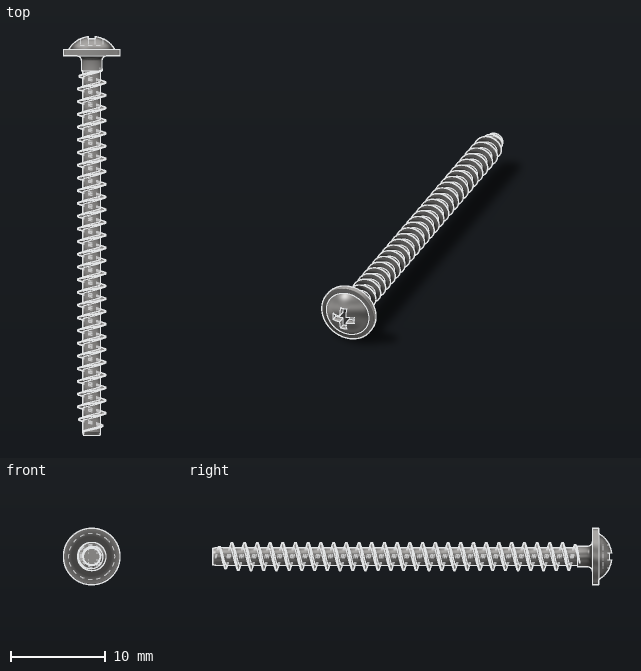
import cadquery as cq
import math

FLANGE_RADIUS = 3.0
FLANGE_THICKNESS = 0.7
FLANGE_EDGE_FILLET = 0.1
DOME_APEX = 2.1
DOME_BASE_RADIUS = 2.43

RECESS_WING_WIDTH = 0.7
RECESS_SPAN = 2.4
RECESS_DEPTH = 1.0

SHAFT_LENGTH = 40.0
NECK_RADIUS = 1.1
NECK_LENGTH = 1.57
NECK_FILLET = 0.5
CORE_RADIUS = 0.95
TIP_RADIUS = 0.87
TIP_TAPER_LENGTH = 0.35

THREAD_RADIUS = 1.5
PITCH = 1.34
CREST_WIDTH = 0.08
FLANK_ANGLE = 15.0
ROOT_OVERLAP = 0.1
CREST_AT_PLUS_X = -2.80

FULL_DEPTH_START = -2.55
FULL_DEPTH_END = -38.0
FADE_LENGTH = 1.75
FADE_END_SINK = 0.02
FADE_DEPTH = THREAD_RADIUS - CORE_RADIUS + FADE_END_SINK


def dome_height_at(radius):
    """Height of the spherical dome above the bearing face at a given radius."""
    rise = DOME_APEX - FLANGE_THICKNESS
    sphere_radius = (DOME_BASE_RADIUS**2 + rise**2) / (2 * rise)
    return DOME_APEX - sphere_radius + math.sqrt(sphere_radius**2 - radius**2)


def make_body():
    """Head, neck and core as one revolved profile about the Y axis."""
    edge = FLANGE_EDGE_FILLET
    dome_mid_radius = DOME_BASE_RADIUS / 2
    return (
        cq.Workplane("XY")
        .moveTo(0, DOME_APEX)
        .threePointArc(
            (dome_mid_radius, dome_height_at(dome_mid_radius)),
            (DOME_BASE_RADIUS, FLANGE_THICKNESS),
        )
        .lineTo(FLANGE_RADIUS - edge, FLANGE_THICKNESS)
        .radiusArc((FLANGE_RADIUS, FLANGE_THICKNESS - edge), edge)
        .lineTo(FLANGE_RADIUS, edge)
        .radiusArc((FLANGE_RADIUS - edge, 0), edge)
        .lineTo(NECK_RADIUS + NECK_FILLET, 0)
        .radiusArc((NECK_RADIUS, -NECK_FILLET), -NECK_FILLET)
        .lineTo(NECK_RADIUS, -NECK_LENGTH)
        .lineTo(CORE_RADIUS, -NECK_LENGTH)
        .lineTo(CORE_RADIUS, -SHAFT_LENGTH + TIP_TAPER_LENGTH)
        .lineTo(TIP_RADIUS, -SHAFT_LENGTH)
        .lineTo(0, -SHAFT_LENGTH)
        .close()
        .revolve(360, (0, 0, 0), (0, 1, 0))
    )


def make_recess():
    """Cross-shaped cutter with a flat floor, its wings along X and Z."""
    center = (0, DOME_APEX - RECESS_DEPTH / 2, 0)
    wing_x = cq.Workplane("XY").box(RECESS_SPAN, RECESS_DEPTH, RECESS_WING_WIDTH).translate(center)
    wing_z = cq.Workplane("XY").box(RECESS_WING_WIDTH, RECESS_DEPTH, RECESS_SPAN).translate(center)
    return wing_x.union(wing_z)


def ridge_corner_helix(radius, offset, start, end, growth):
    """Helix of one ridge corner about Z; its radius grows by `growth` from start to end."""
    height = end - start
    cone_angle = math.atan2(growth, height)
    slant = 1 / math.cos(cone_angle)
    base = cq.Vector(0, 0, start + offset)
    if growth == 0:
        helix = cq.Wire.makeHelix(PITCH, height, radius, center=base)
    else:
        helix = cq.Wire.makeHelix(
            PITCH * slant,
            height * slant,
            radius,
            center=base,
            angle=math.degrees(cone_angle),
        )
    turn = 360 * (start - CREST_AT_PLUS_X) / PITCH
    return helix.rotate(cq.Vector(0, 0, 0), cq.Vector(0, 0, 1), turn)


def make_thread_section(start, end, crest_at_start, crest_at_end):
    """Solid helical ridge along Y whose whole profile shifts radially between the two crest radii."""
    depth = THREAD_RADIUS - CORE_RADIUS + ROOT_OVERLAP
    half_crest = CREST_WIDTH / 2
    half_root = half_crest + depth * math.tan(math.radians(FLANK_ANGLE))
    root_at_start = crest_at_start - depth
    corners = [
        (root_at_start, -half_root),
        (crest_at_start, -half_crest),
        (crest_at_start, half_crest),
        (root_at_start, half_root),
    ]
    growth = crest_at_end - crest_at_start
    helices = [ridge_corner_helix(r, offset, start, end, growth) for r, offset in corners]
    edges = [helix.Edges()[0] for helix in helices]
    following = edges[1:] + edges[:1]
    sides = [cq.Face.makeRuledSurface(a, b) for a, b in zip(edges, following)]
    caps = [
        cq.Face.makeFromWires(cq.Wire.makePolygon([edge.positionAt(t) for edge in edges], close=True))
        for t in (0, 1)
    ]
    solid = cq.Solid.makeSolid(cq.Shell.makeShell(sides + caps))
    return solid.fix().rotate(cq.Vector(0, 0, 0), cq.Vector(1, 0, 0), -90)


def make_thread_sections():
    """Sinking end at the tip, full-depth length, and rising end at the neck."""
    faded_radius = THREAD_RADIUS - FADE_DEPTH
    return [
        make_thread_section(FULL_DEPTH_END - FADE_LENGTH, FULL_DEPTH_END, faded_radius, THREAD_RADIUS),
        make_thread_section(FULL_DEPTH_END, FULL_DEPTH_START, THREAD_RADIUS, THREAD_RADIUS),
        make_thread_section(FULL_DEPTH_START, FULL_DEPTH_START + FADE_LENGTH, THREAD_RADIUS, faded_radius),
    ]


result = make_body().cut(make_recess())
for section in make_thread_sections():
    result = result.union(section)